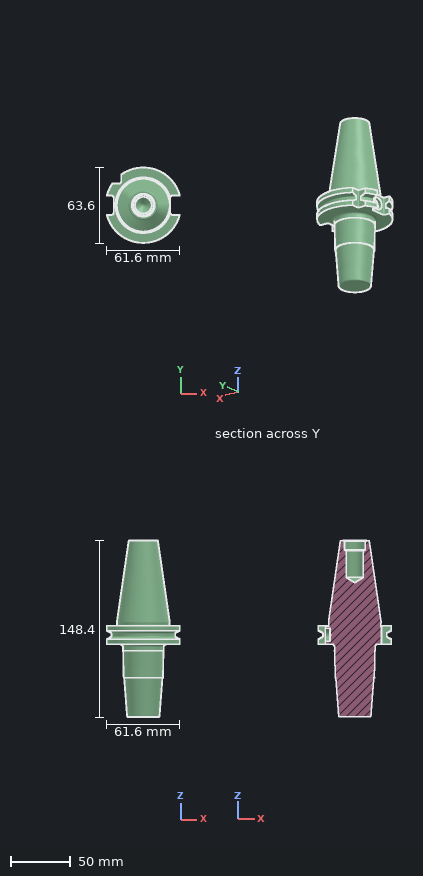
import cadquery as cq
import math

total_length = 148.4
taper_length = 68.4
nose_z = taper_length - total_length
gauge_radius = 22.3
taper_slope = 7 / 48
taper_top_radius = gauge_radius - taper_slope * taper_length
taper_top_fillet = 1.0

flange_radius = 31.8
flange_top_z = -3.1
flange_thickness = 15.9
flange_bottom_z = flange_top_z - flange_thickness
grip_floor_radius = 28.0
grip_mid_depth = 7.9
grip_mid_z = flange_top_z - grip_mid_depth
grip_floor_half = 1.6
grip_mouth_half = 3.5
grip_root_fillet = 0.7

gauge_land = 0.5
collar_radius = 22.1
collar_height = 1.5
relief_outer_radius = 23.5
relief_depth = 0.5

neck_radius = 17.2
neck_length = 5.3
neck_fillet = 2.1
shoulder_top_radius = 17.0
shoulder_bottom_radius = 16.6
shoulder_end_z = flange_bottom_z - 27.8
nose_top_radius = 16.2
nose_tip_radius = 13.7
nose_fillet = 1.3

bore_radius = 8.6
bore_depth = 8.0
bore_chamfer = 1.0
ledge_drop = 0.9
thread_radius = 7.0
thread_depth = 31.2
drill_tip_height = thread_radius / math.tan(math.radians(59))

slot_half_width = 8.0
left_slot_floor = 25.0
right_slot_floor = 22.5
slot_corner_fillet = 1.8
notch_x = -18.7
notch_y = 18.3
notch_fillet = 1.3
dimple_radius = 5.2
dimple_depth = 4.0
pip_radius = 0.3
pip_depth = 0.7


def make_body():
    """Solid of revolution: taper, collar, flange and nose."""
    profile = (
        cq.Workplane("XZ")
        .moveTo(0, taper_length)
        .lineTo(taper_top_radius, taper_length)
        .lineTo(gauge_radius, 0)
        .lineTo(gauge_radius, -gauge_land)
        .lineTo(collar_radius, flange_top_z + collar_height)
        .lineTo(collar_radius, flange_top_z - relief_depth)
        .lineTo(relief_outer_radius, flange_top_z - relief_depth)
        .lineTo(relief_outer_radius, flange_top_z)
        .lineTo(flange_radius, flange_top_z)
        .lineTo(flange_radius, grip_mid_z + grip_mouth_half)
        .lineTo(grip_floor_radius, grip_mid_z + grip_floor_half)
        .lineTo(grip_floor_radius, grip_mid_z - grip_floor_half)
        .lineTo(flange_radius, grip_mid_z - grip_mouth_half)
        .lineTo(flange_radius, flange_bottom_z)
        .lineTo(neck_radius + neck_fillet, flange_bottom_z)
        .radiusArc((neck_radius, flange_bottom_z - neck_fillet), -neck_fillet)
        .lineTo(neck_radius, flange_bottom_z - neck_length)
        .lineTo(shoulder_top_radius, flange_bottom_z - neck_length)
        .lineTo(shoulder_bottom_radius, shoulder_end_z)
        .lineTo(nose_top_radius, shoulder_end_z)
        .lineTo(nose_tip_radius, nose_z)
        .lineTo(0, nose_z)
        .close()
    )
    body = profile.revolve(360, (0, 0, 0), (0, 1, 0))
    root_box = cq.selectors.BoxSelector(
        (-1.5, -1.5, grip_mid_z - grip_mouth_half / 2), (1.5, 1.5, grip_mid_z + grip_mouth_half / 2)
    )
    body = body.edges(root_box).fillet(grip_root_fillet)
    body = body.faces(">Z").edges().fillet(taper_top_fillet)
    return body.faces("<Z").edges().fillet(nose_fillet)


def make_bore():
    """Chamfered counterbore over a blind thread hole with a drill tip."""
    ledge_z = taper_length - bore_depth
    thread_end_z = taper_length - thread_depth
    profile = [
        (0, taper_length),
        (bore_radius + bore_chamfer, taper_length),
        (bore_radius, taper_length - bore_chamfer),
        (bore_radius, ledge_z),
        (thread_radius, ledge_z - ledge_drop),
        (thread_radius, thread_end_z),
        (0, thread_end_z - drill_tip_height),
    ]
    return cq.Workplane("XZ").polyline(profile).close().revolve(360, (0, 0, 0), (0, 1, 0))


def flange_cutter(inner_x, side, y_min, y_max, inner_edges, fillet):
    """Block as tall as the flange, reaching outward from inner_x, with rounded inner edges."""
    reach = flange_radius
    block = (
        cq.Workplane("XY")
        .workplane(offset=flange_bottom_z)
        .center(inner_x + side * reach / 2, (y_min + y_max) / 2)
        .rect(reach, y_max - y_min)
        .extrude(flange_thickness)
    )
    return block.edges(inner_edges).fillet(fillet)


def make_slot(floor_distance, side, inner_edges):
    """Drive key slot centred on the X axis."""
    return flange_cutter(
        side * floor_distance, side, -slot_half_width, slot_half_width, inner_edges, slot_corner_fillet
    )


def make_floor_hole(radius, depth):
    """Round hole sunk into the floor of the -X slot, level with the gripper groove."""
    return (
        cq.Workplane("YZ")
        .workplane(offset=-left_slot_floor)
        .center(0, grip_mid_z)
        .circle(radius)
        .extrude(depth)
    )


left_slot = make_slot(left_slot_floor, -1, "|Z and >X")
right_slot = make_slot(right_slot_floor, 1, "|Z and <X")
notch = flange_cutter(notch_x, -1, notch_y, flange_radius, "|Z and >X and <Y", notch_fillet)
dimple = make_floor_hole(dimple_radius, dimple_depth)
pip = make_floor_hole(pip_radius, dimple_depth + pip_depth)

result = make_body()
for cutter in (make_bore(), left_slot, right_slot, notch, dimple, pip):
    result = result.cut(cutter)